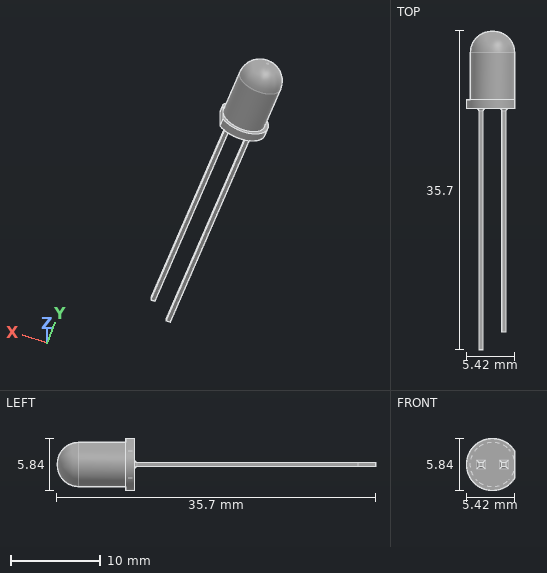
import cadquery as cq

body_radius = 2.5
dome_fillet = 2.4
flange_radius = 2.92
flange_thickness = 1.0
lens_length = 8.65

total_length = 35.65
lead_width = 0.5
lead_offset = 1.3
long_lead = total_length - lens_length
short_lead = long_lead - 2.0
flare_radius = 0.25


def make_lens():
    """Lens along +Y, with the outer face of its flange on the XZ plane."""
    body = cq.Workplane("XZ").circle(body_radius).extrude(-lens_length)
    body = body.faces(">Y").edges().fillet(dome_fillet)
    flange = cq.Workplane("XZ").circle(flange_radius).extrude(-flange_thickness)
    flat_block = cq.Workplane("XY").box(
        body_radius + flange_radius, 2 * flange_thickness, 2 * flange_radius
    ).translate(((body_radius - flange_radius) / 2, 0, 0))
    return body.union(flange.intersect(flat_block))


def make_lead(x, length):
    """Square lead along -Y with a concave flare on all four sides of its root."""
    half_width = lead_width / 2
    root_half = half_width + flare_radius
    wire = cq.Workplane("XZ").center(x, 0).rect(lead_width, lead_width).extrude(length)

    arc_middle = flare_radius * (1 - 0.5 ** 0.5)
    profile = (
        cq.Workplane("XY")
        .moveTo(-root_half, 0)
        .threePointArc((-half_width - arc_middle, -arc_middle), (-half_width, -flare_radius))
        .lineTo(half_width, -flare_radius)
        .threePointArc((half_width + arc_middle, -arc_middle), (root_half, 0))
        .close()
        .extrude(root_half, both=True)
    )
    turned_profile = profile.rotate((0, 0, 0), (0, 1, 0), 90)
    flare = profile.intersect(turned_profile).translate((x, 0, 0))
    return wire.union(flare)


result = make_lens()
for x, length in ((-lead_offset, long_lead), (lead_offset, short_lead)):
    result = result.union(make_lead(x, length))
result = result.translate((0, total_length / 2 - lens_length, 0))